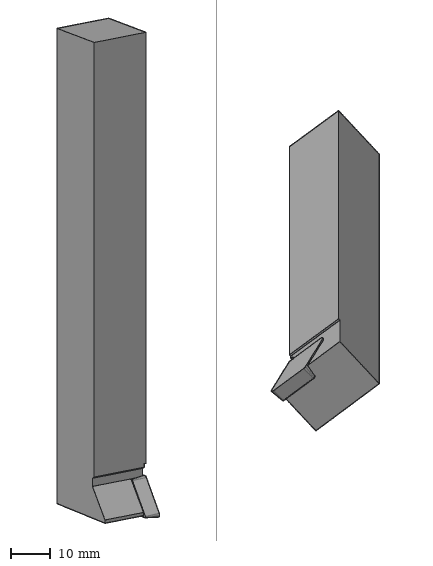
import cadquery as cq
import math

shank_width = 16.0
overall_length = 125.0
overall_width = 22.0
end_corner_z = 1.2
nose_end_x = 20.6
nose_end_z = 0.9
nose_flat_top_z = 1.8
relief_x = 15.2
relief_bottom_z = 9.2
relief_top_z = 11.4
relief_mouth_z = 11.9

step_depth = 0.5
step_top_z = 12.8

insert_angle = 55.0
insert_inscribed_diameter = 9.5
insert_thickness = 4.0
insert_nose_radius = 0.8
insert_clearance = 7.0
insert_tilt = 0.5
insert_face_y = 15.9

insert_edge = insert_inscribed_diameter / math.sin(math.radians(insert_angle))


def along(start, length, angle):
    """Point at a distance and an angle from +X in the XZ plane."""
    direction = math.radians(angle)
    return (start[0] + length * math.cos(direction), start[1] + length * math.sin(direction))


def make_insert():
    nose_center = (overall_width - insert_nose_radius, insert_nose_radius)
    lower_edge_angle = 180 - insert_tilt
    upper_edge_angle = lower_edge_angle - insert_angle
    bisector_angle = lower_edge_angle - insert_angle / 2
    corner_offset = insert_nose_radius / math.sin(math.radians(insert_angle / 2))
    tip = along(nose_center, corner_offset, bisector_angle + 180)
    lower_corner = along(tip, insert_edge, lower_edge_angle)
    upper_corner = along(tip, insert_edge, upper_edge_angle)
    far_corner = along(lower_corner, insert_edge, upper_edge_angle)
    outline = (
        cq.Sketch()
        .polygon([tip, upper_corner, far_corner, lower_corner, tip])
        .vertices()
        .fillet(insert_nose_radius)
    )
    return (
        cq.Workplane("XZ", origin=(0, insert_face_y, 0))
        .placeSketch(outline)
        .extrude(insert_thickness, taper=insert_clearance)
    )


def make_holder(insert):
    blank = (
        cq.Workplane("XZ", origin=(0, shank_width, 0))
        .polyline([
            (0, end_corner_z),
            (nose_end_x, nose_end_z),
            (nose_end_x, nose_flat_top_z),
            (relief_x, relief_bottom_z),
            (relief_x, relief_top_z),
            (shank_width, relief_mouth_z),
            (shank_width, overall_length),
            (0, overall_length),
        ])
        .close()
        .extrude(shank_width)
    )
    face_step = cq.Workplane("XY").box(overall_width, step_depth, step_top_z, centered=False)
    face_step = face_step.translate((0, shank_width - step_depth, 0))
    return blank.cut(face_step).cut(insert)


insert = make_insert()
holder = make_holder(insert)

result = cq.Compound.makeCompound([*holder.solids().vals(), *insert.solids().vals()])